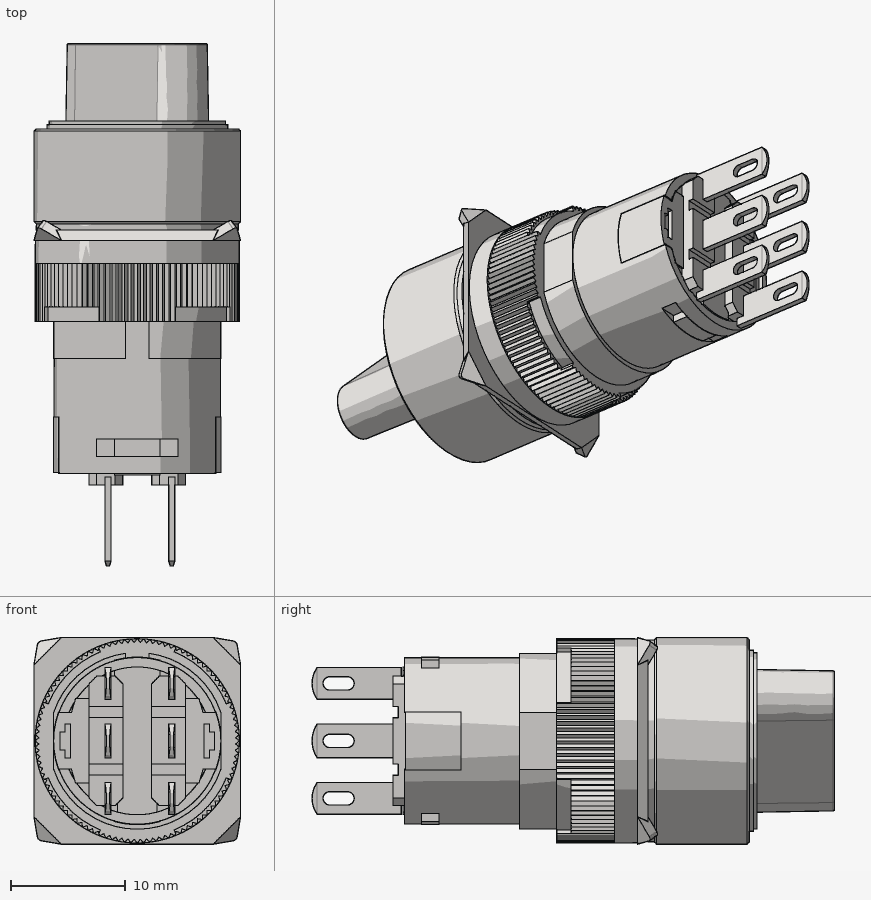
import cadquery as cq
import math


TOTAL_LENGTH = 45.5
KNOB_BASE = 6.75
LIP_END = 7.05
FLANGE_END = 7.4
BEZEL_END = 15.7
PLATE_FRONT = 16.25
PLATE_BACK = 17.15
KNURL_START = 19.15
KNURL_END = 24.2
COLLAR_END = 27.45
BODY_END = 37.45

LIP_DIAMETER = 15.4
FLANGE_DIAMETER = 15.8
BEZEL_DIAMETER = 18.0
NECK_DIAMETER = 17.6
NUT_DIAMETER = 17.8
COLLAR_DIAMETER = 15.4
BODY_DIAMETER = 14.5
PAD_DIAMETER = 14.6
BEZEL_CHAMFER = (BEZEL_DIAMETER - NECK_DIAMETER) / 2

KNOB_THICKNESS = 5.3
KNOB_FLAT_LENGTH = 10.15
KNOB_TILT = 45
KNOB_TAPER = 1.0
KNOB_EDGE_FILLET = 0.15

PLATE_SIDE = 18.0
PLATE_EDGE_TAPER = 24
BEND_LEG = 2.4
BEND_ANGLE = 45
FLAP_CORNER_RADIUS = 0.35

TOOTH_COUNT = 100
TOOTH_HEIGHT = 0.3
NOTCH_DIAMETER = 16.8
NOTCH_LENGTH = 1.27
NOTCH_SPAN = 45
FIRST_NOTCH_ANGLE = 45

COLLAR_FLAT_X = 7.3
COLLAR_SLOT_WIDTH = 2.05
PAD_START = 32.55
PAD_WIDTH = 5.05
WINDOW_START = 34.45
WINDOW_LENGTH = 1.5
WINDOW_FLOOR = 6.32
WINDOW_HALF_WIDTH = 3.65
LABEL_HALF_WIDTH = 2.0

RECESS_DIAMETER = 12.88
RECESS_DEPTH = 0.25
LAND_DEPTH = 0.1
LAND_X = 3.85
LAND_NARROW_X = 5.75
LAND_WIDE_X = 5.35
LAND_NARROW_Z = 2.45
LAND_WIDE_Z = 3.7
STRIP_WIDTH = 2.55
STRIP_HEIGHT = 0.15
STRIP_TOP_WIDTH = 4.0
STRIP_BOTTOM_WIDTH = 3.45
STRIP_FLARE_START = 5.0
LAMP_SLOT_X = 6.05
LAMP_SLOT_WIDTH = 0.5
LAMP_SLOT_HEIGHT = 2.95
LAMP_SLOT_DEPTH = 0.45
KEY_SLOT_WIDTH = 0.4
KEY_SLOT_HEIGHT = 1.55

BLOCK_X = 2.75
BLOCK_WIDTH = 2.95
BLOCK_HEIGHT = 11.3
BLOCK_LENGTH = 1.0
BLOCK_CHAMFER = 0.7
BLOCK_GROOVE_Z = 2.5
BLOCK_GROOVE_WIDTH = 0.95
BLOCK_GROOVE_DEPTH = 0.45
PIN_XS = (-2.55, 3.0)
PIN_PITCH = 5.0
PIN_THICKNESS = 0.55
OUTER_PIN_WIDTH = 2.78
MIDDLE_PIN_WIDTH = 2.95
PIN_START = 37.7
PIN_TIP_LENGTH = 0.45
PIN_TIP_CHAMFER = 0.15
HOLE_CENTRE = 43.2
HOLE_LENGTH = 2.7
HOLE_WIDTH = 1.15


def plane_at(depth):
    """XZ work plane at a depth; extruding goes towards the pins."""
    return cq.Workplane("XZ", origin=(0, -depth, 0))


def disc(start, end, diameter):
    return plane_at(start).circle(diameter / 2).extrude(end - start)


def block(x_size, z_size, start, end, x=0.0, z=0.0):
    return plane_at(start).center(x, z).rect(x_size, z_size).extrude(end - start)


def make_knob():
    knob = (
        plane_at(KNOB_BASE)
        .slot2D(KNOB_FLAT_LENGTH + KNOB_THICKNESS, KNOB_THICKNESS)
        .extrude(-KNOB_BASE, taper=KNOB_TAPER)
        .faces(">Y")
        .edges()
        .fillet(KNOB_EDGE_FILLET)
    )
    return knob.rotate((0, 0, 0), (0, 1, 0), -KNOB_TILT)


def make_head():
    bezel = disc(FLANGE_END, BEZEL_END, BEZEL_DIAMETER).edges().chamfer(BEZEL_CHAMFER)
    return (
        disc(KNOB_BASE, LIP_END, LIP_DIAMETER)
        .union(disc(LIP_END, FLANGE_END, FLANGE_DIAMETER))
        .union(bezel)
        .union(disc(BEZEL_END, PLATE_FRONT, NECK_DIAMETER))
    )


def make_plate():
    """Square plate with sloping edges, whose four corners are bent towards the knob."""
    half = PLATE_SIDE / 2
    bend = half - BEND_LEG
    thickness = PLATE_BACK - PLATE_FRONT
    bend_span = math.sqrt(2) * (half + bend)
    bend_limits = block(bend_span, bend_span, PLATE_FRONT, PLATE_BACK)
    plate = (
        plane_at(PLATE_BACK)
        .rect(PLATE_SIDE, PLATE_SIDE)
        .extrude(-thickness, taper=PLATE_EDGE_TAPER)
        .intersect(bend_limits.rotate((0, 0, 0), (0, 1, 0), 45))
    )
    flap = (
        plane_at(PLATE_FRONT)
        .polyline([(bend, half), (half, half), (half, bend)])
        .close()
        .extrude(thickness)
        .edges("|Y and >(1, 0, 1)")
        .fillet(FLAP_CORNER_RADIUS)
        .rotate((bend, -PLATE_BACK, half), (half, -PLATE_BACK, bend), -BEND_ANGLE)
    )
    for quarter in range(4):
        plate = plate.union(flap.rotate((0, 0, 0), (0, 1, 0), 90 * quarter))
    return plate


def make_nut():
    """Ring with triangular knurl teeth and four notches in its rear edge."""
    tip_radius = NUT_DIAMETER / 2
    root_radius = tip_radius - TOOTH_HEIGHT
    outline = []
    for step in range(2 * TOOTH_COUNT):
        radius = root_radius if step % 2 else tip_radius
        angle = math.pi * step / TOOTH_COUNT
        outline.append((radius * math.cos(angle), radius * math.sin(angle)))
    knurl = plane_at(KNURL_START).polyline(outline).close().extrude(KNURL_END - KNURL_START)

    reach = NUT_DIAMETER
    side = reach * math.tan(math.radians(NOTCH_SPAN / 2))
    sector = (
        plane_at(KNURL_END - NOTCH_LENGTH)
        .polyline([(0, 0), (reach, side), (reach, -side)])
        .close()
        .extrude(NOTCH_LENGTH)
    )
    notch = sector.cut(disc(KNURL_END - NOTCH_LENGTH, KNURL_END, NOTCH_DIAMETER))
    for quarter in range(4):
        knurl = knurl.cut(notch.rotate((0, 0, 0), (0, 1, 0), FIRST_NOTCH_ANGLE + 90 * quarter))
    return disc(PLATE_BACK, KNURL_START, NUT_DIAMETER).union(knurl)


def make_collar():
    """Collar with flats on both X sides and a slot on top."""
    slot = block(COLLAR_SLOT_WIDTH, COLLAR_DIAMETER, KNURL_END, COLLAR_END, z=COLLAR_DIAMETER / 2)
    flats = block(2 * COLLAR_FLAT_X, COLLAR_DIAMETER, KNURL_END, COLLAR_END)
    return disc(KNURL_END, COLLAR_END, COLLAR_DIAMETER).intersect(flats).cut(slot)


def make_body():
    """Rear barrel with side pads and label windows."""
    body = disc(KNURL_END, BODY_END, BODY_DIAMETER)
    pads = disc(PAD_START, BODY_END, PAD_DIAMETER).intersect(
        block(PAD_DIAMETER, PAD_WIDTH, PAD_START, BODY_END)
    )
    body = body.union(pads)

    window_end = WINDOW_START + WINDOW_LENGTH
    labels = disc(WINDOW_START, window_end, PAD_DIAMETER).intersect(
        block(2 * LABEL_HALF_WIDTH, PAD_DIAMETER, WINDOW_START, window_end)
    )
    cell_width = WINDOW_HALF_WIDTH - LABEL_HALF_WIDTH
    cell_x = LABEL_HALF_WIDTH + cell_width / 2
    cell_height = PAD_DIAMETER / 2 - WINDOW_FLOOR
    cell_z = WINDOW_FLOOR + cell_height / 2
    for x in (-cell_x, cell_x):
        for z in (-cell_z, cell_z):
            body = body.cut(block(cell_width, cell_height, WINDOW_START, window_end, x, z))
    return body.union(labels)


def make_side_land(x_side, start):
    """Stepped area beside a terminal block, from a start depth to the rear face."""
    outline = [
        (x_side * LAND_X, LAND_WIDE_Z),
        (x_side * LAND_WIDE_X, LAND_WIDE_Z),
        (x_side * LAND_NARROW_X, LAND_NARROW_Z),
        (x_side * PAD_DIAMETER / 2, LAND_NARROW_Z),
        (x_side * PAD_DIAMETER / 2, -LAND_NARROW_Z),
        (x_side * LAND_NARROW_X, -LAND_NARROW_Z),
        (x_side * LAND_WIDE_X, -LAND_WIDE_Z),
        (x_side * LAND_X, -LAND_WIDE_Z),
    ]
    return plane_at(start).polyline(outline).close().extrude(BODY_END - start)


def shape_rear_face(body):
    """Round recess with a slotted, slightly sunk land at each side."""
    floor = BODY_END - RECESS_DEPTH
    recess = disc(floor, BODY_END, RECESS_DIAMETER)
    for x_side in (-1, 1):
        recess = recess.cut(make_side_land(x_side, floor))
    body = body.cut(recess)

    key_x = LAMP_SLOT_X + (LAMP_SLOT_WIDTH + KEY_SLOT_WIDTH) / 2
    bottom = BODY_END - LAMP_SLOT_DEPTH
    for x_side in (-1, 1):
        slot = block(LAMP_SLOT_WIDTH, LAMP_SLOT_HEIGHT, bottom, BODY_END, x=x_side * LAMP_SLOT_X)
        key = block(KEY_SLOT_WIDTH, KEY_SLOT_HEIGHT, bottom, BODY_END, x=x_side * key_x)
        body = body.cut(make_side_land(x_side, BODY_END - LAND_DEPTH)).cut(slot).cut(key)
    return body


def make_centre_strip():
    """Raised strip between the terminal blocks, flared at 45 degrees at both ends."""
    start = BODY_END - RECESS_DEPTH
    end = BODY_END + STRIP_HEIGHT
    strip = block(STRIP_WIDTH, RECESS_DIAMETER, start, end)
    for z_side, width in ((1, STRIP_TOP_WIDTH), (-1, STRIP_BOTTOM_WIDTH)):
        flare_end = STRIP_FLARE_START + (width - STRIP_WIDTH) / 2
        outline = [
            (-STRIP_WIDTH / 2, z_side * STRIP_FLARE_START),
            (-width / 2, z_side * flare_end),
            (-width / 2, z_side * RECESS_DIAMETER / 2),
            (width / 2, z_side * RECESS_DIAMETER / 2),
            (width / 2, z_side * flare_end),
            (STRIP_WIDTH / 2, z_side * STRIP_FLARE_START),
        ]
        strip = strip.union(plane_at(start).polyline(outline).close().extrude(end - start))
    return strip.intersect(disc(start, end, RECESS_DIAMETER))


def make_terminal_block(x):
    start = BODY_END - RECESS_DEPTH
    end = BODY_END + BLOCK_LENGTH
    terminal = block(BLOCK_WIDTH, BLOCK_HEIGHT, start, end, x=x).edges("|Y").chamfer(BLOCK_CHAMFER)
    for z in (-BLOCK_GROOVE_Z, BLOCK_GROOVE_Z):
        groove = block(BLOCK_WIDTH, BLOCK_GROOVE_WIDTH, end - BLOCK_GROOVE_DEPTH, end, x=x, z=z)
        terminal = terminal.cut(groove)
    return terminal


def make_pin(x, z, width):
    """Flat pin with a rounded, thinned tip and a slotted eye."""
    shoulder = TOTAL_LENGTH - PIN_TIP_LENGTH
    half_thickness = PIN_THICKNESS / 2
    tip_half_thickness = half_thickness - PIN_TIP_CHAMFER
    side_shape = (
        cq.Workplane("YZ", origin=(x, 0, z))
        .moveTo(-PIN_START, width / 2)
        .lineTo(-shoulder, width / 2)
        .threePointArc((-TOTAL_LENGTH, 0), (-shoulder, -width / 2))
        .lineTo(-PIN_START, -width / 2)
        .close()
        .extrude(half_thickness, both=True)
    )
    edge_shape = (
        cq.Workplane("XY", origin=(x, 0, z))
        .moveTo(-half_thickness, -PIN_START)
        .lineTo(-half_thickness, -shoulder)
        .lineTo(-tip_half_thickness, -TOTAL_LENGTH)
        .lineTo(tip_half_thickness, -TOTAL_LENGTH)
        .lineTo(half_thickness, -shoulder)
        .lineTo(half_thickness, -PIN_START)
        .close()
        .extrude(width, both=True)
    )
    eye = (
        cq.Workplane("YZ", origin=(x, -HOLE_CENTRE, z))
        .slot2D(HOLE_LENGTH, HOLE_WIDTH)
        .extrude(PIN_THICKNESS, both=True)
    )
    return side_shape.intersect(edge_shape).cut(eye)


result = (
    make_knob()
    .union(make_head())
    .union(make_plate())
    .union(make_nut())
    .union(make_collar())
    .union(shape_rear_face(make_body()))
    .union(make_centre_strip())
)

for block_x in (-BLOCK_X, BLOCK_X):
    result = result.union(make_terminal_block(block_x))

for pin_x in PIN_XS:
    for row in (-1, 0, 1):
        pin_width = OUTER_PIN_WIDTH if row else MIDDLE_PIN_WIDTH
        result = result.union(make_pin(pin_x, row * PIN_PITCH, pin_width))